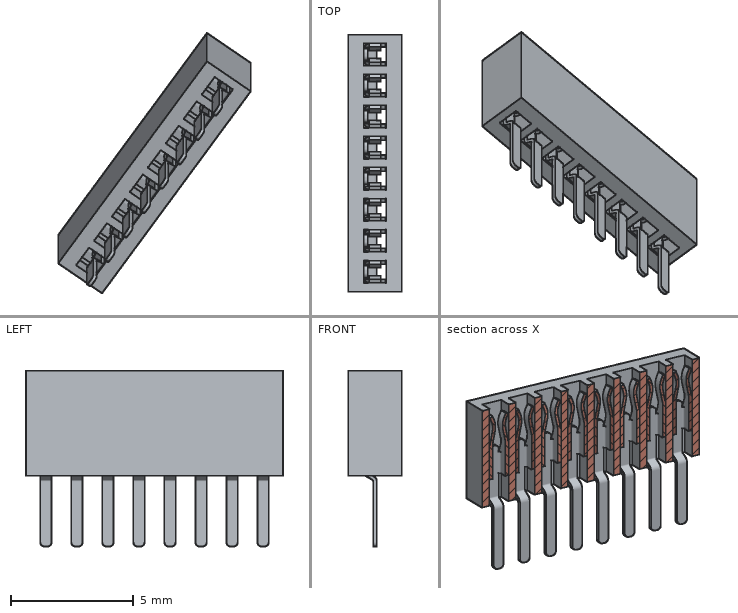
import cadquery as cq
import math

HOUSING_LENGTH = 10.53
HOUSING_WIDTH = 2.2
HOUSING_HEIGHT = 4.31
CONTACT_COUNT = 8
PITCH = 1.27
CAVITY_SIZE = 0.92

SHEET = 0.16
INNER_BEND_RADIUS = 0.07
OUTER_BEND_RADIUS = INNER_BEND_RADIUS + SHEET
STRIP_WIDTH = 0.47
STRIP_CORNER_RADIUS = 0.19
HALF_STRIP = STRIP_WIDTH / 2
WALL_OUTSIDE = CAVITY_SIZE / 2
WALL_INSIDE = WALL_OUTSIDE - SHEET

LEAD_LENGTH = 2.9
JOG_SLOPE = math.radians(30)
LOWER_BEND_Z = -0.14

TIP_DEPTH = 0.35
FLARE_ANGLE = math.radians(25)
LEAN_ANGLE = math.radians(12)
CONTACT_HALF_GAP = 0.16
CONTACT_RADIUS = 0.84

CHANNEL_BOTTOM_Z = 1.16
CHANNEL_HEIGHT = 0.95
CHANNEL_TOP_Z = CHANNEL_BOTTOM_Z + CHANNEL_HEIGHT
CHANNEL_FRONT_X = 0.43
SHOULDER_RADIUS = 0.81
TAB_HEIGHT = 0.32


def contact_positions():
    first = -PITCH * (CONTACT_COUNT - 1) / 2
    return [first + PITCH * index for index in range(CONTACT_COUNT)]


def make_housing():
    block = cq.Workplane("XY").box(
        HOUSING_WIDTH, HOUSING_LENGTH, HOUSING_HEIGHT, centered=(True, True, False)
    )
    cavities = (
        cq.Workplane("XY")
        .pushPoints([(0, y) for y in contact_positions()])
        .rect(CAVITY_SIZE, CAVITY_SIZE)
        .extrude(HOUSING_HEIGHT)
    )
    return block.cut(cavities)


def channel_block(half_width, back_x, corner_radius, bottom_z, height):
    """Upright block open to +X, with its two back corners rounded."""
    return (
        cq.Workplane("XY", origin=(0, 0, bottom_z))
        .moveTo(back_x, -half_width)
        .lineTo(CHANNEL_FRONT_X, -half_width)
        .lineTo(CHANNEL_FRONT_X, half_width)
        .lineTo(back_x, half_width)
        .close()
        .extrude(height)
        .edges("|Z and <X")
        .fillet(corner_radius)
    )


def make_channel():
    outside = channel_block(
        WALL_OUTSIDE, -WALL_OUTSIDE, OUTER_BEND_RADIUS, CHANNEL_BOTTOM_Z, CHANNEL_HEIGHT
    )
    inside = channel_block(
        WALL_INSIDE, -WALL_INSIDE, INNER_BEND_RADIUS, CHANNEL_BOTTOM_Z, CHANNEL_HEIGHT
    )
    return outside.cut(inside)


def make_shoulders():
    """Upper side walls, narrowed by concave arcs to the width of the fingers."""
    arc_angle = math.acos(1 - (CHANNEL_FRONT_X - HALF_STRIP) / SHOULDER_RADIUS)
    height = SHOULDER_RADIUS * math.sin(arc_angle)
    mid_x = HALF_STRIP + SHOULDER_RADIUS * (1 - math.cos(arc_angle / 2))
    mid_z = CHANNEL_TOP_Z + height - SHOULDER_RADIUS * math.sin(arc_angle / 2)
    top_z = CHANNEL_TOP_Z + height
    profile = (
        cq.Workplane("XZ")
        .moveTo(-CHANNEL_FRONT_X, CHANNEL_TOP_Z)
        .lineTo(CHANNEL_FRONT_X, CHANNEL_TOP_Z)
        .threePointArc((mid_x, mid_z), (HALF_STRIP, top_z))
        .lineTo(-HALF_STRIP, top_z)
        .threePointArc((-mid_x, mid_z), (-CHANNEL_FRONT_X, CHANNEL_TOP_Z))
        .close()
        .extrude(WALL_OUTSIDE, both=True)
    )
    between_walls = cq.Workplane("XY", origin=(0, 0, CHANNEL_TOP_Z)).box(
        CAVITY_SIZE, 2 * WALL_INSIDE, height, centered=(True, True, False)
    )
    outside = channel_block(
        WALL_OUTSIDE, -WALL_OUTSIDE, OUTER_BEND_RADIUS, CHANNEL_TOP_Z, height
    )
    return profile.intersect(outside).cut(between_walls)


def make_finger():
    """Spring finger on the +Y wall, extruded from its side profile."""
    tip_y = WALL_OUTSIDE - SHEET * math.cos(FLARE_ANGLE)
    tip_z = HOUSING_HEIGHT - TIP_DEPTH
    outer_tip = (WALL_OUTSIDE, tip_z - SHEET * math.sin(FLARE_ANGLE))
    center_y = CONTACT_HALF_GAP + CONTACT_RADIUS
    flare_start_y = center_y - CONTACT_RADIUS * math.cos(FLARE_ANGLE)
    flare_height = (tip_y - flare_start_y) / math.tan(FLARE_ANGLE)
    center_z = tip_z - flare_height - CONTACT_RADIUS * math.sin(FLARE_ANGLE)

    def on_bend(radius, angle):
        return (center_y - radius * math.cos(angle), center_z + radius * math.sin(angle))

    back_radius = CONTACT_RADIUS - SHEET
    lean_start = on_bend(CONTACT_RADIUS, -LEAN_ANGLE)
    root_z = lean_start[1] - (WALL_INSIDE - lean_start[0]) / math.tan(LEAN_ANGLE)
    back_root_z = root_z - SHEET * math.tan(LEAN_ANGLE / 2)
    return (
        cq.Workplane("YZ")
        .moveTo(WALL_INSIDE, CHANNEL_TOP_Z)
        .lineTo(WALL_INSIDE, root_z)
        .lineTo(*lean_start)
        .threePointArc(on_bend(CONTACT_RADIUS, 0), on_bend(CONTACT_RADIUS, FLARE_ANGLE))
        .lineTo(tip_y, tip_z)
        .lineTo(*outer_tip)
        .lineTo(*on_bend(back_radius, FLARE_ANGLE))
        .threePointArc(on_bend(back_radius, 0), on_bend(back_radius, -LEAN_ANGLE))
        .lineTo(WALL_OUTSIDE, back_root_z)
        .lineTo(WALL_OUTSIDE, CHANNEL_TOP_Z)
        .close()
        .extrude(HALF_STRIP, both=True)
    )


def make_tab():
    """Round-cornered tab that rises from the back of the channel."""
    return (
        cq.Workplane("XY", origin=(-WALL_OUTSIDE, 0, CHANNEL_TOP_Z))
        .box(SHEET, STRIP_WIDTH, TAB_HEIGHT, centered=(False, True, False))
        .edges("|X and >Z")
        .fillet(STRIP_CORNER_RADIUS)
    )


def make_lead():
    half_sheet = SHEET / 2
    back_x = -(WALL_OUTSIDE - half_sheet)
    upper_bend_z = LOWER_BEND_Z - back_x * math.tan(JOG_SLOPE)
    face_shift = half_sheet * math.tan((math.pi / 2 - JOG_SLOPE) / 2)
    upper_left = (back_x - half_sheet, upper_bend_z - face_shift)
    upper_right = (back_x + half_sheet, upper_bend_z + face_shift)
    lower_left = (-half_sheet, LOWER_BEND_Z - face_shift)
    lower_right = (half_sheet, LOWER_BEND_Z + face_shift)
    lead = (
        cq.Workplane("XZ")
        .moveTo(upper_left[0], CHANNEL_BOTTOM_Z)
        .lineTo(*upper_left)
        .lineTo(*lower_left)
        .lineTo(-half_sheet, -LEAD_LENGTH)
        .lineTo(half_sheet, -LEAD_LENGTH)
        .lineTo(*lower_right)
        .lineTo(*upper_right)
        .lineTo(upper_right[0], CHANNEL_BOTTOM_Z)
        .close()
        .extrude(HALF_STRIP, both=True)
    )

    def bend_edge(point):
        return cq.selectors.NearestToPointSelector((point[0], 0, point[1]))

    bends = [
        (upper_left, OUTER_BEND_RADIUS),
        (upper_right, INNER_BEND_RADIUS),
        (lower_left, INNER_BEND_RADIUS),
        (lower_right, OUTER_BEND_RADIUS),
    ]
    for point, radius in bends:
        lead = lead.edges("|Y").edges(bend_edge(point)).fillet(radius)
    return lead.edges("|X and <Z").fillet(STRIP_CORNER_RADIUS)


def make_contact():
    finger = make_finger()
    return (
        make_channel()
        .union(make_shoulders())
        .union(finger)
        .union(finger.mirror("XZ"))
        .union(make_tab())
        .union(make_lead())
    )


housing = make_housing()
contact = make_contact()
contacts = [contact.translate((0, y, 0)).solids().val() for y in contact_positions()]

result = cq.Compound.makeCompound([housing.val(), *contacts])